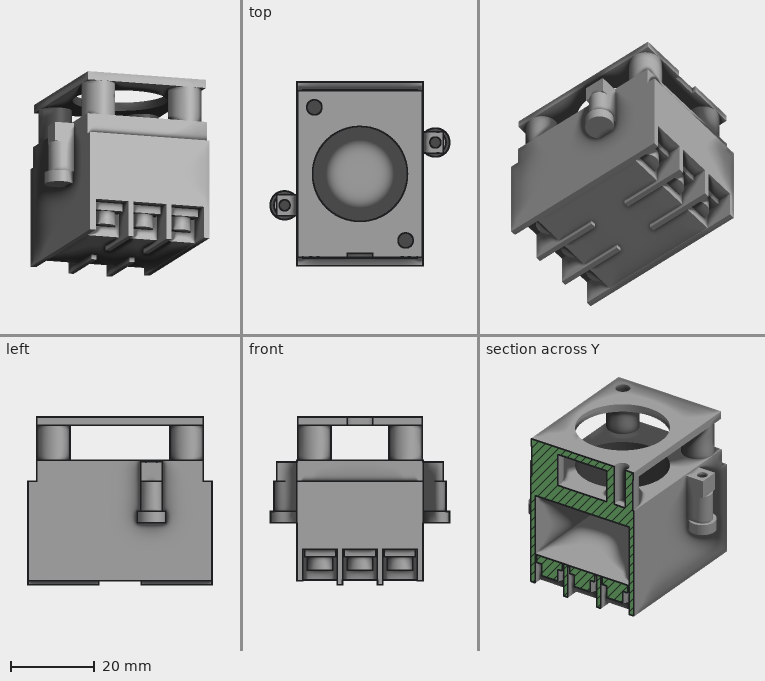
import cadquery as cq

body_width = 30.2
body_length = 44.0
side_wall = 1.45
end_wall = 1.9
side_foot_z = 0.95
body_top_z = 24.8
cavity_floor_z = 8.9
inner_width = body_width - 2 * side_wall
cavity_length = body_length - 2 * end_wall

bay_top_z = 8.5
bay_depth = 7.0
core_bottom_z = 1.1
core_length = body_length - 2 * bay_depth
divider_thickness = 1.3
divider_x = 4.8
foot_gap = 10.1
divider_length = (body_length - foot_gap) / 2
bay_pitch = 9.5
clamp_width = 7.5
clamp_bottom_z = 6.67
screw_diameter = 6.1
screw_bottom_z = 3.5

lid_length = 39.8
lid_top_z = 29.8
bore_diameter = 22.7
plate_width = 29.8
plate_length = lid_length
plate_thickness = 2.0
plate_top_z = 40.1
plate_bottom_z = plate_top_z - plate_thickness
notch_width = 6.1
notch_depth = 0.95
post_diameter = 8.0
post_x = (plate_width - post_diameter) / 2
post_y = (plate_length - post_diameter) / 2
post_hole_diameter = 3.6

lug_width = 5.1
lug_reach_x = 19.9
lug_top_z = 29.4
lug_y = 7.5
lug_screw_x = 18.0
lug_hole_diameter = 2.6
collar_diameter = 6.87
collar_top_z = 17.55
collar_bottom_z = 14.8


def block(width, length, bottom_z, top_z, x=0, y=0):
    """Box centred on (x, y) between two heights."""
    return (
        cq.Workplane("XY", origin=(x, y, bottom_z))
        .rect(width, length)
        .extrude(top_z - bottom_z)
    )


def rod(diameter, bottom_z, top_z, x=0, y=0):
    """Vertical cylinder centred on (x, y) between two heights."""
    return (
        cq.Workplane("XY", origin=(x, y, bottom_z))
        .circle(diameter / 2)
        .extrude(top_z - bottom_z)
    )


def make_housing():
    housing = block(body_width, body_length, side_foot_z, body_top_z)
    housing = housing.cut(block(inner_width, body_length, side_foot_z, bay_top_z))
    housing = housing.union(block(inner_width, core_length, core_bottom_z, bay_top_z))
    return housing.cut(block(inner_width, cavity_length, cavity_floor_z, body_top_z))


def make_terminals(end):
    """Dividers, clamps and screws at one end; end is -1 for -Y and 1 for +Y."""
    divider_y = end * (body_length - divider_length) / 2
    screw_y = end * core_length / 2
    terminals = cq.Workplane("XY")
    for side in (-1, 1):
        terminals = terminals.add(
            block(divider_thickness, divider_length, 0, bay_top_z, side * divider_x, divider_y)
        )
    for bay in (-1, 0, 1):
        x = bay * bay_pitch
        terminals = terminals.add(block(clamp_width, clamp_width, clamp_bottom_z, bay_top_z, x, screw_y))
        terminals = terminals.add(rod(screw_diameter, screw_bottom_z, clamp_bottom_z, x, screw_y))
    return terminals.combine()


def make_lid():
    lid = block(body_width, lid_length, body_top_z, lid_top_z)
    return lid.cut(rod(bore_diameter, body_top_z, lid_top_z))


def make_plate_on_posts():
    plate = block(plate_width, plate_length, plate_bottom_z, plate_top_z)
    plate = plate.cut(rod(bore_diameter, plate_bottom_z, plate_top_z))
    notch_y = -(plate_length - notch_depth) / 2
    plate = plate.cut(block(notch_width, notch_depth, plate_bottom_z, plate_top_z, 0, notch_y))
    for x in (-post_x, post_x):
        for y in (-post_y, post_y):
            plate = plate.union(rod(post_diameter, lid_top_z, plate_bottom_z, x, y))
    for side in (-1, 1):
        plate = plate.cut(rod(post_hole_diameter, lid_top_z, plate_top_z, side * post_x, -side * post_y))
    return plate


def make_lug(side):
    """Lug on one flank; side is -1 for -X and 1 for +X."""
    root_x = body_width / 2
    x = side * lug_screw_x
    y = side * lug_y
    head_length = lug_reach_x - root_x
    web_length = lug_screw_x - root_x
    head_x = side * (root_x + head_length / 2)
    web_x = side * (root_x + web_length / 2)
    lug = block(head_length, lug_width, body_top_z, lug_top_z, head_x, y)
    lug = lug.union(block(web_length, lug_width, collar_top_z, body_top_z, web_x, y))
    shank = rod(lug_width, collar_top_z, body_top_z, x, y)
    collar = rod(collar_diameter, collar_bottom_z, collar_top_z, x, y)
    room = block(body_width, body_length, collar_bottom_z, body_top_z, side * body_width, 0)
    lug = lug.union(shank.union(collar).intersect(room))
    return lug.cut(rod(lug_hole_diameter, collar_top_z, lug_top_z, x, y))


result = make_housing().union(make_lid()).union(make_plate_on_posts())
for direction in (-1, 1):
    result = result.union(make_terminals(direction)).union(make_lug(direction))